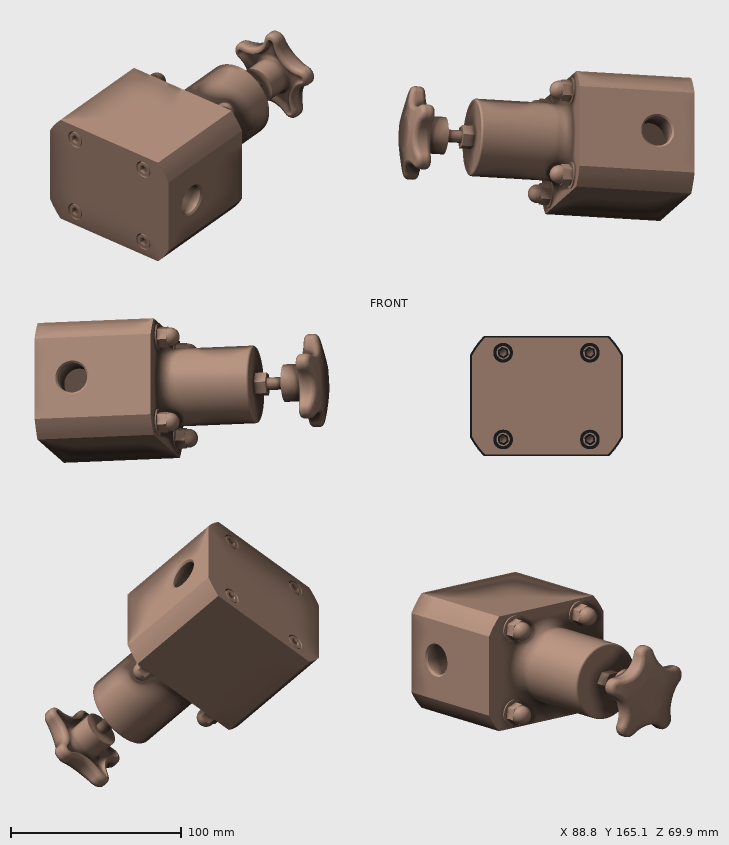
import cadquery as cq
import math

overall_length = 165.1

body_width = 88.8
body_height = 69.9
body_length = 69.9
body_round_diameter = 101.0

port_diameter = 17.8
port_mouth_diameter = 20.0
port_depth = 19.8
port_y = 22.5

bonnet_diameter = 45.7
bonnet_end_y = 123.9
bonnet_edge_fillet = 1.3
flare_radius = 6.5

screw_pitch = 51.0
hex_turn = 8.3
counterbore_diameter = 10.5
counterbore_depth = 6.6
screw_head_diameter = 9.0
screw_head_recess = 0.2
socket_width = 5.0
socket_depth = 3.3
socket_cone_depth = 1.3
washer_diameter = 15.9
washer_thickness = 0.8
cap_nut_width = 11.0
cap_nut_hex_end_y = 76.3
dome_diameter = 11.0
dome_tip_y = 83.0

spindle_diameter = 7.5
lock_nut_width = 12.4
lock_nut_end_y = 130.6

hub_diameter = 22.1
hub_start_y = 140.7
knob_start_y = 153.0
arm_count = 5
arm_center_radius = 23.3
arm_tip_radius = 5.5
arm_flare_angle = 10.0
crown_radius = 84.2
crown_flat_drop = 0.7
knob_edge_fillet = 3.0
pocket_depth = 3.6
pocket_floor_fillet = 2.3


def plane_at(y):
    """Sketch plane with local x = X and local y = Z, its normal along -Y."""
    return cq.Workplane("XZ", origin=(0, y, 0))


def cylinder(diameter, start_y, end_y):
    return plane_at(start_y).circle(diameter / 2).extrude(start_y - end_y)


def hexagon(width, start_y, end_y, flat_angle):
    """Hexagonal prism, with one flat facing flat_angle degrees from +X towards +Z."""
    across_corners = width / math.cos(math.radians(30))
    prism = plane_at(start_y).polygon(6, across_corners).extrude(start_y - end_y)
    return prism.rotate((0, 0, 0), (0, 1, 0), -(flat_angle - 30))


def polar(radius, angle):
    return (radius * math.cos(math.radians(angle)), radius * math.sin(math.radians(angle)))


def make_body():
    block = cq.Workplane("XY").box(body_width, body_length, body_height)
    block = block.translate((0, body_length / 2, 0))
    return block.intersect(cylinder(body_round_diameter, 0, body_length))


def make_port(side):
    """Blind port with a 45 degree mouth; side is -1 for -X and +1 for +X."""
    mouth_depth = (port_mouth_diameter - port_diameter) / 2
    face_x = body_width / 2
    return (
        cq.Workplane("XY")
        .moveTo(face_x, 0)
        .lineTo(face_x, port_mouth_diameter / 2)
        .lineTo(face_x - mouth_depth, port_diameter / 2)
        .lineTo(face_x - port_depth, port_diameter / 2)
        .lineTo(face_x - port_depth, 0)
        .close()
        .revolve(360, (0, 0, 0), (1, 0, 0))
        .rotate((0, 0, 0), (0, 0, 1), 0 if side > 0 else 180)
        .translate((0, port_y, 0))
    )


def make_bonnet():
    """Round bonnet that flares out where it meets the body."""
    radius = bonnet_diameter / 2
    flare_angle = math.radians(45)
    flare_middle = (
        radius + flare_radius * (1 - math.cos(flare_angle)),
        body_length + flare_radius * (1 - math.sin(flare_angle)),
    )
    profile = (
        cq.Workplane("XY")
        .moveTo(0, body_length)
        .lineTo(radius + flare_radius, body_length)
        .threePointArc(flare_middle, (radius, body_length + flare_radius))
        .lineTo(radius, bonnet_end_y)
        .lineTo(0, bonnet_end_y)
        .close()
    )
    bonnet = profile.revolve(360, (0, 0, 0), (0, 1, 0))
    return bonnet.faces(">Y").edges().fillet(bonnet_edge_fillet)


def make_cap_nut():
    washer_end_y = body_length + washer_thickness
    dome_radius = dome_diameter / 2
    dome_base_y = dome_tip_y - dome_radius
    washer = cylinder(washer_diameter, body_length, washer_end_y)
    nut = hexagon(cap_nut_width, washer_end_y, cap_nut_hex_end_y, hex_turn)
    collar = cylinder(dome_diameter, washer_end_y, dome_base_y)
    dome = cq.Workplane("XY").sphere(dome_radius).translate((0, dome_base_y, 0))
    return washer.union(nut).union(collar).union(dome)


def make_screw_head():
    """Socket head sunk in its counterbore, with a hexagon socket ending in a cone."""
    head = cylinder(screw_head_diameter, screw_head_recess, counterbore_depth)
    socket_end_y = screw_head_recess + socket_depth
    cone_end_y = socket_end_y + socket_cone_depth
    socket = hexagon(socket_width, screw_head_recess, cone_end_y, hex_turn)
    tip_radius = socket_width / math.sqrt(3)
    drill = (
        cq.Workplane("XY")
        .lineTo(tip_radius, 0)
        .lineTo(tip_radius, socket_end_y)
        .lineTo(0, cone_end_y)
        .close()
        .revolve(360, (0, 0, 0), (0, 1, 0))
    )
    return head.cut(socket.intersect(drill))


def star_outline():
    """Closed star: round arm tips joined by tangent hollow arcs; one arm points along +Z."""
    half_step = 180 / arm_count
    contact_angle = math.radians(90 - arm_flare_angle)
    rise = math.tan(math.radians(half_step))
    reach = arm_center_radius * rise / (math.sin(contact_angle) - rise * math.cos(contact_angle))
    hollow_center_radius = reach * math.sin(contact_angle) / math.sin(math.radians(half_step))
    hollow_bottom_radius = hollow_center_radius - (reach - arm_tip_radius)
    contact_x = arm_center_radius + arm_tip_radius * math.cos(contact_angle)
    contact_z = arm_tip_radius * math.sin(contact_angle)
    contact_radius = math.hypot(contact_x, contact_z)
    contact_turn = math.degrees(math.atan2(contact_z, contact_x))

    outline = plane_at(knob_start_y).moveTo(*polar(contact_radius, 90 - contact_turn))
    for arm in range(arm_count):
        angle = 90 + arm * 2 * half_step
        outline = outline.threePointArc(
            polar(arm_center_radius + arm_tip_radius, angle),
            polar(contact_radius, angle + contact_turn),
        )
        outline = outline.threePointArc(
            polar(hollow_bottom_radius, angle + half_step),
            polar(contact_radius, angle + 2 * half_step - contact_turn),
        )
    return outline.close()


def make_knob():
    """Domed star with a flat crown, hollowed from below around its hub."""
    pocket_end_y = knob_start_y + pocket_depth
    apex_y = overall_length + crown_flat_drop
    dome = cq.Workplane("XY").sphere(crown_radius).translate((0, apex_y - crown_radius, 0))
    star = star_outline().extrude(knob_start_y - apex_y).intersect(dome)
    star = star.faces("<Y or >Y").edges().fillet(knob_edge_fillet)
    star = star.cut(cylinder(2 * arm_center_radius, overall_length, apex_y))

    pocket = star_outline().offset2D(-knob_edge_fillet).extrude(-pocket_depth)
    pocket = pocket.cut(cylinder(hub_diameter, knob_start_y, pocket_end_y))
    pocket = pocket.faces(">Y").edges().fillet(pocket_floor_fillet)
    return star.cut(pocket).union(cylinder(hub_diameter, hub_start_y, pocket_end_y))


screw_places = [
    (x * screw_pitch / 2, 0, z * screw_pitch / 2) for x in (-1, 1) for z in (-1, 1)
]

result = make_body()
for side in (-1, 1):
    result = result.cut(make_port(side))
result = result.union(make_bonnet())

for place in screw_places:
    counterbore = cylinder(counterbore_diameter, 0, counterbore_depth)
    result = result.cut(counterbore.translate(place))
    result = result.union(make_screw_head().translate(place))
    result = result.union(make_cap_nut().translate(place))

result = result.union(hexagon(lock_nut_width, bonnet_end_y, lock_nut_end_y, 90))
result = result.union(cylinder(spindle_diameter, bonnet_end_y, hub_start_y))
result = result.union(make_knob())